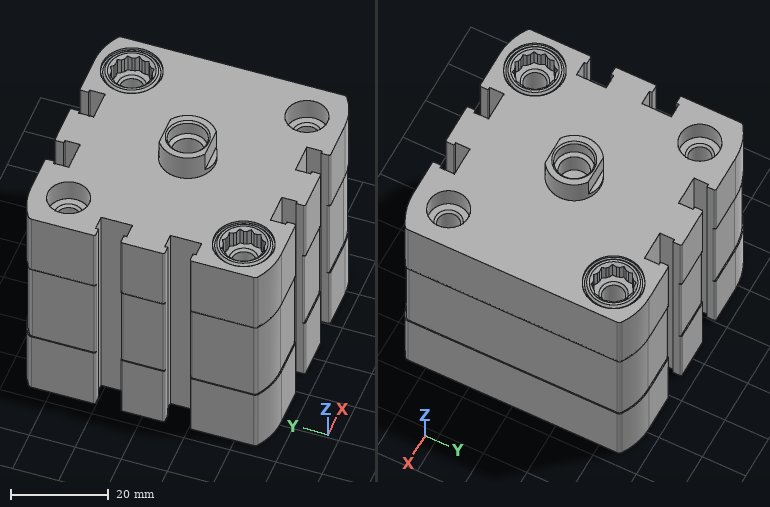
import cadquery as cq
import math

width = 54.5
cap_height = 15.05
barrel_height = 19.95
barrel_inset = 0.25
housing_height = 2 * cap_height + barrel_height
half_width = width / 2

corner_pitch = 19.0
corner_radius = 14.35
corner_edge_radius = 1.0

slot_offset = 7.5
slot_neck_width = 5.5
slot_wide_width = 6.8
slot_neck_depth = 2.0
slot_depth = 5.35
slot_lip_radius = 0.4
slot_face_angles = (0, 180, 270)

bore_diameter = 4.95
bore_mouth_diameter = 6.0
counterbore_diameter = 9.0
counterbore_depth = 5.0

gap_diameter = 12.8
head_diameter = 11.9
gap_depth = 0.55
crown_diameter = 11.0
socket_mouth_diameter = 9.95
socket_bore_diameter = 8.4
socket_hexagon_diameter = 9.15
socket_hexagon_turns = (0, 30)
socket_depth = 4.5

rod_diameter = 12.0
rod_height = 6.05
rod_insertion = cap_height
flat_width = 10.0
flat_height = 4.6
flat_runout_angle = 30
rod_mouth_diameter = 9.2
rod_mouth_depth = 0.45
rod_bore_diameter = 8.4
rod_bore_depth = 3.5
rod_core_diameter = 6.6
rod_core_depth = 9.0
drill_half_angle = 60


def revolve_profile(points):
    """Solid of revolution about Z from (radius, height) points."""
    return cq.Workplane("XZ").polyline(points).close().revolve(360, (0, 0, 0), (0, 1, 0))


def block(inset, height):
    """Square block with arc corners, its faces moved in by the inset."""
    half = half_width - inset
    radius = corner_radius - inset
    arc_center = half - radius
    end_angle = math.acos((half - corner_pitch) / radius)

    def arc_point(angle_from_x, sign_x, sign_y):
        x = corner_pitch + radius * math.cos(angle_from_x)
        y = arc_center + radius * math.sin(angle_from_x)
        return (sign_x * x, sign_y * y)

    mid_angle = (end_angle + math.pi / 2) / 2
    outline = cq.Workplane("XY").moveTo(-corner_pitch, half).lineTo(corner_pitch, half)
    outline = outline.threePointArc(arc_point(mid_angle, 1, 1), arc_point(end_angle, 1, 1))
    outline = outline.lineTo(*arc_point(end_angle, 1, -1))
    outline = outline.threePointArc(arc_point(mid_angle, 1, -1), (corner_pitch, -half))
    outline = outline.lineTo(-corner_pitch, -half)
    outline = outline.threePointArc(arc_point(mid_angle, -1, -1), arc_point(end_angle, -1, -1))
    outline = outline.lineTo(*arc_point(end_angle, -1, 1))
    outline = outline.threePointArc(arc_point(mid_angle, -1, 1), (-corner_pitch, half))
    solid = outline.close().extrude(height)
    return solid.edges("|Z").edges("<X or >X").fillet(corner_edge_radius)


def slot_cutter(inset, height):
    """T-slot entering the -Y face, with rounded lips at its mouth."""
    face_y = -half_width + inset
    shoulder_y = -half_width + slot_neck_depth
    floor_y = -half_width + slot_depth
    neck = slot_neck_width / 2
    wide = slot_wide_width / 2
    mouth = neck + slot_lip_radius
    lip_y = face_y + slot_lip_radius
    arc_offset = slot_lip_radius * (1 - math.cos(math.pi / 4))
    return (
        cq.Workplane("XY")
        .moveTo(-mouth, face_y)
        .threePointArc((-neck - arc_offset, face_y + arc_offset), (-neck, lip_y))
        .lineTo(-neck, shoulder_y)
        .lineTo(-wide, shoulder_y)
        .lineTo(-wide, floor_y)
        .lineTo(wide, floor_y)
        .lineTo(wide, shoulder_y)
        .lineTo(neck, shoulder_y)
        .lineTo(neck, lip_y)
        .threePointArc((neck + arc_offset, face_y + arc_offset), (mouth, face_y))
        .close()
        .extrude(height)
    )


def section(inset, bottom, height):
    """One level of the housing with its T-slots cut."""
    solid = block(inset, height)
    for angle in slot_face_angles:
        for offset in (-slot_offset, slot_offset):
            cutter = slot_cutter(inset, height).translate((offset, 0, 0))
            solid = solid.cut(cutter.rotate((0, 0, 0), (0, 0, 1), angle))
    return solid.translate((0, 0, bottom))


def screw_bore(floor):
    """Through bore whose mouth is chamfered at the given floor height."""
    radius = bore_diameter / 2
    mouth = bore_mouth_diameter / 2
    chamfer = mouth - radius
    return revolve_profile([
        (0, 0),
        (radius, 0),
        (radius, floor - chamfer),
        (mouth, floor),
        (0, floor),
    ])


def counterbored_hole():
    floor = housing_height - counterbore_depth
    counterbore = cq.Workplane("XY", origin=(0, 0, floor)).circle(counterbore_diameter / 2)
    return screw_bore(floor).union(counterbore.extrude(counterbore_depth))


def socket_head_hole():
    """Ring groove, 12-point socket and through bore of one socket head."""
    top = housing_height
    gap_floor = top - gap_depth
    groove = revolve_profile([
        (head_diameter / 2, gap_floor),
        (gap_diameter / 2, gap_floor),
        (gap_diameter / 2, top),
        (crown_diameter / 2, top),
    ])
    mouth = socket_mouth_diameter / 2
    entry = revolve_profile([(0, top), (mouth, top), (0, top - mouth)])
    floor = top - socket_depth
    base = cq.Workplane("XY", origin=(0, 0, floor))
    socket = base.circle(socket_bore_diameter / 2).extrude(socket_depth)
    hexagon = base.polygon(6, socket_hexagon_diameter).extrude(socket_depth)
    for angle in socket_hexagon_turns:
        socket = socket.union(hexagon.rotate((0, 0, 0), (0, 0, 1), angle))
    return groove.union(entry).union(socket).union(screw_bore(floor))


def make_housing():
    barrel_bottom = cap_height
    barrel_top = cap_height + barrel_height
    body = section(0, 0, cap_height)
    body = body.union(section(barrel_inset, barrel_bottom, barrel_height))
    body = body.union(section(0, barrel_top, cap_height))
    for side in (-1, 1):
        body = body.cut(socket_head_hole().translate((side * corner_pitch, side * corner_pitch, 0)))
        body = body.cut(counterbored_hole().translate((side * corner_pitch, -side * corner_pitch, 0)))
    rod_seat = cq.Workplane("XY", origin=(0, 0, housing_height - rod_insertion)).circle(rod_diameter / 2)
    return body.cut(rod_seat.extrude(rod_insertion))


def wrench_flat_cutter(top):
    """Cuts the +Y flat, whose shoulder slopes down and outwards."""
    inner = flat_width / 2
    outer = rod_diameter / 2
    shoulder = top - flat_height
    drop = (outer - inner) * math.tan(math.radians(flat_runout_angle))
    profile = [(inner, top), (outer, top), (outer, shoulder - drop), (inner, shoulder)]
    return cq.Workplane("YZ").polyline(profile).close().extrude(rod_diameter / 2, both=True)


def rod_bore(top):
    """Chamfered bore narrowing to a drilled core with a conical end."""
    mouth = rod_mouth_diameter / 2
    bore = rod_bore_diameter / 2
    core = rod_core_diameter / 2
    drill_slope = math.tan(math.radians(drill_half_angle))
    bore_floor = top - rod_bore_depth
    core_floor = top - rod_core_depth
    return revolve_profile([
        (0, top),
        (mouth, top),
        (bore, top - rod_mouth_depth),
        (bore, bore_floor),
        (core, bore_floor - (bore - core) / drill_slope),
        (core, core_floor),
        (0, core_floor - core / drill_slope),
    ])


def make_piston_rod():
    top = housing_height + rod_height
    base = cq.Workplane("XY", origin=(0, 0, housing_height - rod_insertion))
    rod = base.circle(rod_diameter / 2).extrude(rod_insertion + rod_height)
    for angle in (0, 180):
        rod = rod.cut(wrench_flat_cutter(top).rotate((0, 0, 0), (0, 0, 1), angle))
    return rod.cut(rod_bore(top))


housing = make_housing()
piston_rod = make_piston_rod()
result = cq.Compound.makeCompound([housing.val(), piston_rod.val()])